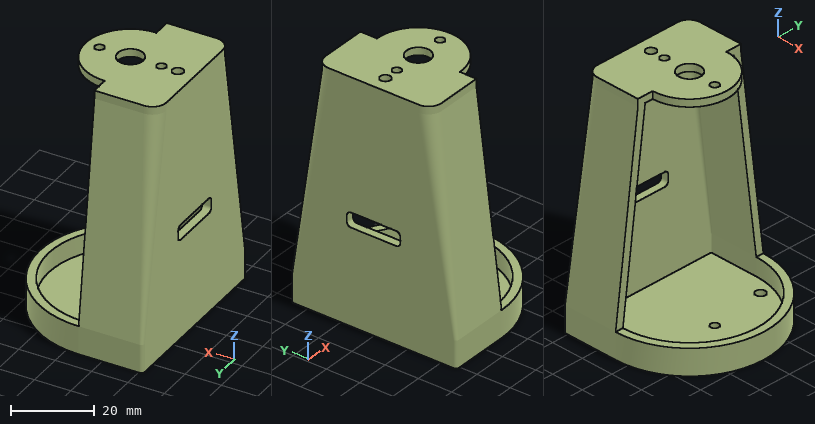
import cadquery as cq

height = 70.4
base_radius = 25.0
back_depth = 17.7
wall = 2.45

base_height = 7.95
floor_thickness = 2.45
base_corner_radius = 1.0
base_hole_diameter = 3.0
base_hole_x = 6.0
base_hole_y = 18.0

plate_thickness = 2.25
plate_half_width = 17.45
plate_corner_radius = 3.95
nose_radius = 12.45
center_hole_diameter = 7.0
small_hole_diameter = 2.5
small_hole_offset = 8.5
rear_hole_diameter = 3.0
rear_hole_offset = 13.0

slot_width = 16.05
slot_height = 4.2
slot_center_z = 30.05
slot_corner_radius = 1.3

plate_bottom = height - plate_thickness
cavity_radius = base_radius - wall
cavity_depth = back_depth - wall
cavity_top_half_width = plate_half_width - wall
cavity_top_corner_radius = plate_corner_radius - wall
cavity_base_corner_radius = 0.35


def back_profile(z, depth, half_width, corner_radius):
    """Closed wire: straight front edge at x = 0, two rounded corners at the back."""
    diagonal = corner_radius * (1 - 0.5 ** 0.5)
    corner_x = corner_radius - depth
    corner_y = half_width - corner_radius
    return (
        cq.Workplane("XY", origin=(0, 0, z))
        .moveTo(0, -half_width)
        .lineTo(0, half_width)
        .lineTo(corner_x, half_width)
        .threePointArc((diagonal - depth, half_width - diagonal), (-depth, corner_y))
        .lineTo(-depth, -corner_y)
        .threePointArc((diagonal - depth, diagonal - half_width), (corner_x, -half_width))
        .close()
    )


def rounded_back_block(z, thickness, depth, half_width, corner_radius, front_radius):
    """Plate with a square rear part and a half-disc front centred on the Z axis."""
    rear = back_profile(z, depth, half_width, corner_radius).extrude(thickness)
    front = (
        cq.Workplane("XY", origin=(0, 0, z))
        .moveTo(0, -front_radius)
        .threePointArc((front_radius, 0), (0, front_radius))
        .close()
        .extrude(thickness)
    )
    return rear.union(front)


def tapered_column(depth, base_profile, top_profile):
    """Ruled column; each profile is a (half width, corner radius) pair."""
    lower = back_profile(base_height, depth, *base_profile).val()
    upper = back_profile(plate_bottom, depth, *top_profile).val()
    return cq.Workplane(cq.Solid.makeLoft([lower, upper], True))


def vertical_hole(x, y, diameter, z, thickness):
    return cq.Workplane("XY", origin=(x, y, z)).circle(diameter / 2).extrude(thickness)


base = rounded_back_block(0, base_height, back_depth, base_radius, base_corner_radius, base_radius)
tray_cavity = rounded_back_block(
    floor_thickness, base_height - floor_thickness,
    cavity_depth, cavity_radius, cavity_base_corner_radius, cavity_radius,
)

column = tapered_column(
    back_depth,
    (base_radius, base_corner_radius),
    (plate_half_width, plate_corner_radius),
)
column_cavity = tapered_column(
    cavity_depth,
    (cavity_radius, cavity_base_corner_radius),
    (cavity_top_half_width, cavity_top_corner_radius),
)

plate = rounded_back_block(
    plate_bottom, plate_thickness, back_depth, plate_half_width, plate_corner_radius, nose_radius
)

result = base.union(column).union(plate).cut(tray_cavity).cut(column_cavity)

for side in (-1, 1):
    result = result.cut(
        vertical_hole(base_hole_x, side * base_hole_y, base_hole_diameter, 0, floor_thickness)
    )

result = result.cut(vertical_hole(small_hole_offset, 0, small_hole_diameter, 0, floor_thickness))

plate_holes = (
    (0, center_hole_diameter),
    (small_hole_offset, small_hole_diameter),
    (-small_hole_offset, small_hole_diameter),
    (-rear_hole_offset, rear_hole_diameter),
)
for hole_x, diameter in plate_holes:
    result = result.cut(vertical_hole(hole_x, 0, diameter, plate_bottom, plate_thickness))

slot = (
    cq.Workplane("YZ", origin=(-back_depth, 0, slot_center_z))
    .rect(slot_width, slot_height)
    .extrude(wall)
    .edges("|X")
    .fillet(slot_corner_radius)
)
result = result.cut(slot)